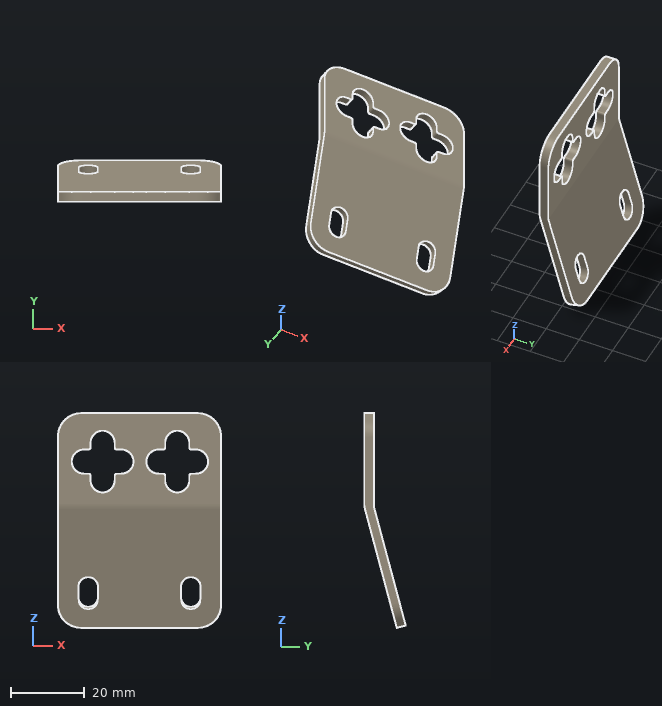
import cadquery as cq
import math

width = 44.5
height = 58.5
upper_thickness = 2.7
lower_thickness = 2.6
corner_radius = 6.45

bend_angle = 15.0
bend_radius = 5.5
upper_leg = 24.75

cross_span = 16.75
cross_arm_width = 6.5
cross_corner_radius = 0.65
cross_spacing = 20.3
cross_pair_offset = 0.1
cross_depth = 13.2

slot_width = 5.25
slot_length = 8.95
slot_spacing = 27.9
slot_edge_gap = 5.3

sin_bend = math.sin(math.radians(bend_angle))
cos_bend = math.cos(math.radians(bend_angle))
bend_start_z = height - upper_leg
lower_leg = (bend_start_z - bend_radius * sin_bend) / cos_bend
lower_end_y = bend_radius * (1 - cos_bend) + lower_leg * sin_bend

cut_length = 2 * upper_thickness

upper_plane = cq.Plane(origin=(0, 0, height), xDir=(1, 0, 0), normal=(0, -1, 0))
lower_plane = cq.Plane(
    origin=(0, lower_end_y, 0), xDir=(1, 0, 0), normal=(0, -cos_bend, -sin_bend)
)


def bend_point(angle):
    """Point (y, z) on the front bend arc, at an angle in degrees from the start of the bend."""
    turn = math.radians(angle)
    return (bend_radius * (1 - math.cos(turn)), bend_start_z - bend_radius * math.sin(turn))


def make_bent_plate():
    lower_back_y = lower_end_y + lower_thickness * cos_bend
    lower_back_z = lower_thickness * sin_bend
    inside_corner_z = lower_back_z + (lower_back_y - upper_thickness) * cos_bend / sin_bend
    return (
        cq.Workplane("YZ")
        .moveTo(0, height)
        .lineTo(0, bend_start_z)
        .threePointArc(bend_point(bend_angle / 2), bend_point(bend_angle))
        .lineTo(lower_end_y, 0)
        .lineTo(lower_back_y, lower_back_z)
        .lineTo(upper_thickness, inside_corner_z)
        .lineTo(upper_thickness, height)
        .close()
        .extrude(width / 2, both=True)
    )


def round_corners(plate):
    plate = plate.edges("|Y").edges(">Z").fillet(corner_radius)
    lower_normal = cq.selectors.ParallelDirSelector(lower_plane.zDir)
    return plate.edges(lower_normal).edges("<Z").fillet(corner_radius)


def slot_cutters(plane, centers, length, slot_size, angle):
    return (
        cq.Workplane(plane)
        .pushPoints(centers)
        .slot2D(length, slot_size, angle)
        .extrude(cut_length, both=True)
    )


def cross_cutters():
    centers = [(cross_pair_offset + side * cross_spacing / 2, -cross_depth) for side in (-1, 1)]
    horizontal = slot_cutters(upper_plane, centers, cross_span, cross_arm_width, 0)
    vertical = slot_cutters(upper_plane, centers, cross_span, cross_arm_width, 90)
    crosses = horizontal.union(vertical)
    half_arm = cross_arm_width / 2
    reach = half_arm + cross_corner_radius / 2
    for x, y in centers:
        center = upper_plane.toWorldCoords((x, y))
        corner_box = cq.selectors.BoxSelector(
            (center.x - reach, -2 * cut_length, center.z - reach),
            (center.x + reach, 2 * cut_length, center.z + reach),
        )
        crosses = crosses.edges(corner_box).edges("|Y").fillet(cross_corner_radius)
    return crosses


def lower_slot_cutters():
    center_y = slot_edge_gap + slot_length / 2
    centers = [(side * slot_spacing / 2, center_y) for side in (-1, 1)]
    return slot_cutters(lower_plane, centers, slot_length, slot_width, 90)


plate = round_corners(make_bent_plate())
result = plate.cut(cross_cutters()).cut(lower_slot_cutters())